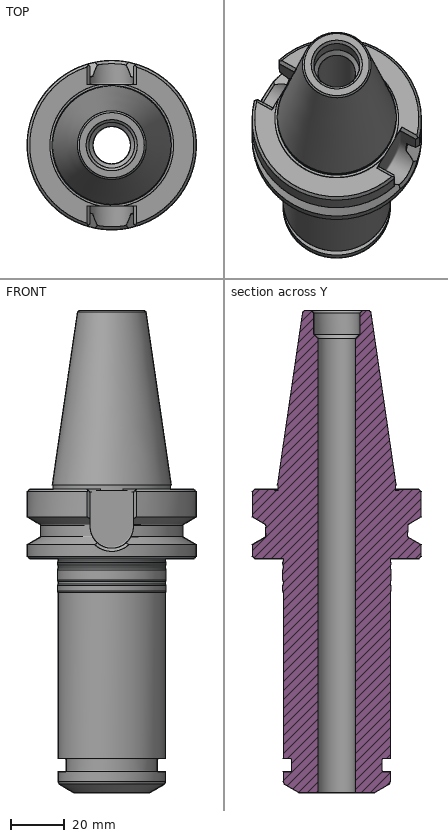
import cadquery as cq
import math


GAUGE_DIAMETER = 44.45
TAPER_LENGTH = 65.4
TAPER_RATIO = 7 / 24
TAPER_TOP_DIAMETER = 24.2
TAPER_TOP_CHAMFER = 0.6
TAPER_BASE = 0.4
RELIEF_DIAMETER = 43.85
RECESS_DIAMETER = 46.0
RECESS_DEPTH = 0.5

FLANGE_DIAMETER = 63.0
FLANGE_TOP = -1.0
FLANGE_BOTTOM = -27.0
FLANGE_CHAMFER = 1.0

GRIP_DIAMETER = 53.0
GRIP_CENTRE = -16.55
GRIP_WIDTH = 10.3
FLANK_SLOPE = math.tan(math.radians(60))
GRIP_FILLET = 0.4
GRIP_FLANK_HEIGHT = (FLANGE_DIAMETER - GRIP_DIAMETER) / 2 / FLANK_SLOPE

SLOT_WIDTH = 16.1
SLOT_FLOOR = 22.6
SLOT_TOP = 2.0
SLOT_END = -23.0
SLOT_CHAMFER = 1.2
SLOT_FILLET = 0.5

SHANK_DIAMETER = 40.0
SEAT_DIAMETER = 40.5
SEAT_TOP = -28.4
SEAT_BOTTOM = -38.9
SEAT_SLOPE_HEIGHT = 0.6
SEAT_GROOVE_WIDTH = 2.1
SEAT_GROOVE_TOPS = (-28.95, -34.85)
NECK_DIAMETER = 34.0
NECK_TOP = -101.2
NECK_BOTTOM = -106.1
NECK_FILLET = 0.4
COLLAR_BOTTOM = -109.8
NOSE_BOTTOM = -114.0
NOSE_TOP = -110.75
NOSE_DIAMETER = 28.0
NOSE_SLOPE = math.tan(math.radians(60))
NOSE_RIM_DIAMETER = NOSE_DIAMETER + 2 * NOSE_SLOPE * (NOSE_TOP - NOSE_BOTTOM)

BORE_DIAMETER = 13.84
COUNTERBORE_DIAMETER = 17.0
COUNTERBORE_DEPTH = 8.9
COUNTERBORE_CHAMFER = 1.0

MARGIN = 0.1
TOLERANCE = 0.001


def revolve(points):
    """Solid of revolution about Z from (diameter, height) points listed from top to bottom."""
    half = [(diameter / 2, z) for diameter, z in points]
    axis = [(0, half[-1][1]), (0, half[0][1])]
    return cq.Workplane("XZ").polyline(half + axis).close().revolve(360, (0, 0, 0), (0, 1, 0))


def taper_diameter(z):
    """Diameter of the taper at height z."""
    return GAUGE_DIAMETER - TAPER_RATIO * z


def fillet_circles(body, diameter, heights, fillet):
    """Rounds the circular edges of one diameter about the Z axis at the given heights."""

    def is_corner(edge):
        on_circle = edge.geomType() == "CIRCLE" and abs(2 * edge.radius() - diameter) < TOLERANCE
        return on_circle and any(abs(edge.Center().z - z) < TOLERANCE for z in heights)

    return body.edges().filter(is_corner).fillet(fillet)


def make_taper():
    """Taper with its end chamfer and the narrower relief down to the flange."""
    chamfer_base = TAPER_LENGTH - TAPER_TOP_CHAMFER
    return revolve([
        (TAPER_TOP_DIAMETER, TAPER_LENGTH),
        (taper_diameter(chamfer_base), chamfer_base),
        (taper_diameter(TAPER_BASE), TAPER_BASE),
        (RELIEF_DIAMETER, TAPER_BASE),
        (RELIEF_DIAMETER, FLANGE_TOP - RECESS_DEPTH),
    ])


def make_flange():
    """Flange with its grip groove and the recess in its top face."""
    groove_top = GRIP_CENTRE + GRIP_WIDTH / 2
    groove_bottom = GRIP_CENTRE - GRIP_WIDTH / 2
    corner_heights = (groove_top - GRIP_FLANK_HEIGHT, groove_bottom + GRIP_FLANK_HEIGHT)
    flange = revolve([
        (RECESS_DIAMETER, FLANGE_TOP - RECESS_DEPTH),
        (RECESS_DIAMETER, FLANGE_TOP),
        (FLANGE_DIAMETER - 2 * FLANGE_CHAMFER, FLANGE_TOP),
        (FLANGE_DIAMETER, FLANGE_TOP - FLANGE_CHAMFER),
        (FLANGE_DIAMETER, groove_top),
        (GRIP_DIAMETER, corner_heights[0]),
        (GRIP_DIAMETER, corner_heights[1]),
        (FLANGE_DIAMETER, groove_bottom),
        (FLANGE_DIAMETER, FLANGE_BOTTOM + FLANGE_CHAMFER),
        (FLANGE_DIAMETER - 2 * FLANGE_CHAMFER, FLANGE_BOTTOM),
    ])
    return fillet_circles(flange, GRIP_DIAMETER, corner_heights, GRIP_FILLET)


def make_shank():
    """Shank with the grooved seat, the neck, the collar and the conical nose."""
    points = [
        (SHANK_DIAMETER, FLANGE_BOTTOM),
        (SHANK_DIAMETER, SEAT_TOP + SEAT_SLOPE_HEIGHT),
        (SEAT_DIAMETER, SEAT_TOP),
    ]
    for top in SEAT_GROOVE_TOPS:
        bottom = top - SEAT_GROOVE_WIDTH
        points += [
            (SEAT_DIAMETER, top),
            (SHANK_DIAMETER, top - SEAT_SLOPE_HEIGHT),
            (SHANK_DIAMETER, bottom + SEAT_SLOPE_HEIGHT),
            (SEAT_DIAMETER, bottom),
        ]
    points += [
        (SEAT_DIAMETER, SEAT_BOTTOM),
        (SHANK_DIAMETER, SEAT_BOTTOM - SEAT_SLOPE_HEIGHT),
        (SHANK_DIAMETER, NECK_TOP),
        (NECK_DIAMETER, NECK_TOP),
        (NECK_DIAMETER, NECK_BOTTOM),
        (SHANK_DIAMETER, NECK_BOTTOM),
        (SHANK_DIAMETER, COLLAR_BOTTOM),
        (NOSE_RIM_DIAMETER, NOSE_TOP),
        (NOSE_DIAMETER, NOSE_BOTTOM),
    ]
    return fillet_circles(revolve(points), NECK_DIAMETER, (NECK_TOP, NECK_BOTTOM), NECK_FILLET)


def make_bore():
    """Through bore with a counterbore that narrows to it along a 45 degree seat."""
    seat_depth = (COUNTERBORE_DIAMETER - BORE_DIAMETER) / 2
    counterbore_bottom = TAPER_LENGTH - COUNTERBORE_DEPTH
    return revolve([
        (COUNTERBORE_DIAMETER + 2 * COUNTERBORE_CHAMFER, TAPER_LENGTH),
        (COUNTERBORE_DIAMETER, TAPER_LENGTH - COUNTERBORE_CHAMFER),
        (COUNTERBORE_DIAMETER, counterbore_bottom),
        (BORE_DIAMETER, counterbore_bottom - seat_depth),
        (BORE_DIAMETER, NOSE_BOTTOM),
    ])


def make_slot():
    """Round-ended key slot on the -Y side, open at the top, with a rounded edge around its floor."""
    radius = SLOT_WIDTH / 2
    return (
        cq.Workplane("XZ", origin=(0, -SLOT_FLOOR, 0))
        .moveTo(-radius, SLOT_TOP)
        .lineTo(-radius, SLOT_END + radius)
        .threePointArc((0, SLOT_END), (radius, SLOT_END + radius))
        .lineTo(radius, SLOT_TOP)
        .close()
        .extrude(FLANGE_DIAMETER / 2)
        .faces(">Y")
        .edges("not(>Z)")
        .fillet(SLOT_FILLET)
    )


def make_slot_flare():
    """Wedge that chamfers the edges between the walls of the -Y slot and the top of the flange."""
    half_width = SLOT_WIDTH / 2
    return (
        cq.Workplane("XZ", origin=(0, -SLOT_FLOOR, 0))
        .moveTo(-half_width - SLOT_CHAMFER, FLANGE_TOP)
        .lineTo(half_width + SLOT_CHAMFER, FLANGE_TOP)
        .lineTo(half_width, FLANGE_TOP - SLOT_CHAMFER)
        .lineTo(-half_width, FLANGE_TOP - SLOT_CHAMFER)
        .close()
        .extrude(FLANGE_DIAMETER / 2)
    )


def both_sides(tool):
    """The -Y tool together with its mirror image on the +Y side."""
    return tool.union(tool.mirror("XZ"))


def slot_rim(side):
    """Selects the slot edges that lie on the flange diameter; side is +1 for +Y and -1 for -Y."""
    half_width = SLOT_WIDTH / 2
    inner = math.sqrt((FLANGE_DIAMETER / 2) ** 2 - half_width**2)
    return cq.selectors.BoxSelector(
        (-half_width - MARGIN, side * (inner - MARGIN), SLOT_END - MARGIN),
        (half_width + MARGIN, side * (FLANGE_DIAMETER / 2 + MARGIN), FLANGE_TOP - FLANGE_CHAMFER),
    )


def make_head():
    """Taper and flange with both key slots cut and their edges chamfered."""
    head = make_taper().union(make_flange())
    head = head.cut(both_sides(make_slot()))
    head = head.edges(slot_rim(-1) + slot_rim(1)).chamfer(SLOT_CHAMFER)
    return head.cut(both_sides(make_slot_flare()))


result = make_head().union(make_shank()).cut(make_bore())